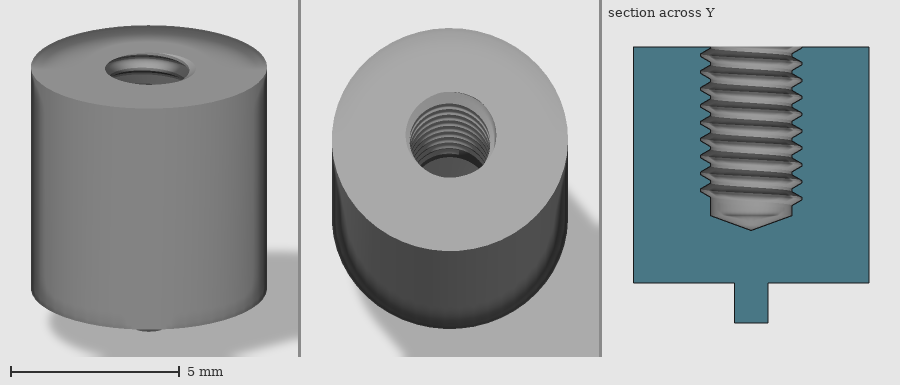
import cadquery as cq
import math

body_diameter = 7.0
total_height = 8.2
body_height = body_diameter
pin_height = total_height - body_height
pin_diameter = 1.0

major_diameter = 3.0
minor_diameter = 2.395
pitch = 0.5
hole_depth = 5.0
drill_point_angle = 140.0
groove_turns = 10
groove_root_width = pitch / 8
flank_angle = 30.0
bore_overlap = 0.05


def make_body():
    pin = cq.Workplane("XY").circle(pin_diameter / 2).extrude(pin_height)
    body = (
        cq.Workplane("XY")
        .workplane(offset=pin_height)
        .circle(body_diameter / 2)
        .extrude(body_height)
    )
    return body.union(pin)


def make_bore():
    """Drilled hole with a conical bottom."""
    radius = minor_diameter / 2
    floor = total_height - hole_depth
    tip = floor - radius / math.tan(math.radians(drill_point_angle / 2))
    return (
        cq.Workplane("XZ")
        .moveTo(0, tip)
        .lineTo(radius, floor)
        .lineTo(radius, total_height)
        .lineTo(0, total_height)
        .close()
        .revolve(360, (0, 0), (0, 1))
    )


def make_thread_groove():
    """Right-hand helical groove whose root meets the top face on the +X side."""
    outer = major_diameter / 2
    inner = minor_diameter / 2 - bore_overlap
    root_half = groove_root_width / 2
    mouth_half = root_half + (outer - inner) * math.tan(math.radians(flank_angle))
    length = groove_turns * pitch
    start = total_height + pitch - length
    corners = [
        (inner, start - mouth_half),
        (outer, start - root_half),
        (outer, start + root_half),
        (inner, start + mouth_half),
    ]
    helices = [
        cq.Wire.makeHelix(pitch, length, radius, center=cq.Vector(0, 0, z))
        for radius, z in corners
    ]
    walls = [
        cq.Face.makeRuledSurface(helices[i - 1], helices[i])
        for i in range(len(helices))
    ]
    ends = []
    for rise in (0, length):
        points = [cq.Vector(radius, 0, z + rise) for radius, z in corners]
        ends.append(cq.Face.makeFromWires(cq.Wire.makePolygon(points, close=True)))
    faces = [face for wall in walls for face in wall.Faces()]
    return cq.Workplane(obj=cq.Solid.makeSolid(cq.Shell.makeShell(faces + ends)))


result = make_body().cut(make_bore()).cut(make_thread_groove())